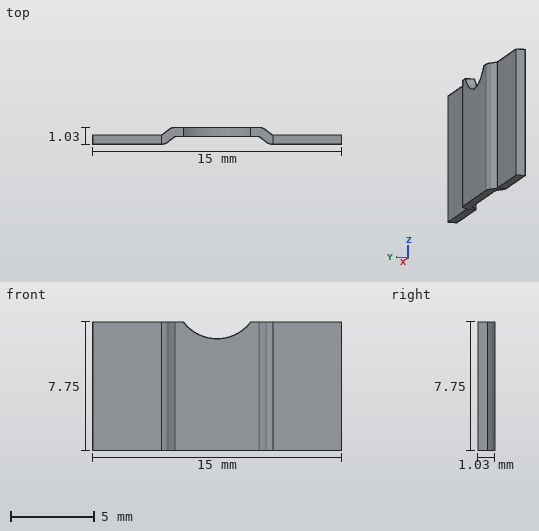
import cadquery as cq
import math

length = 14.98
depth = 1.03
height = 7.75

thickness = 0.57
wing_length = 4.13
bend_angle = math.radians(38)
inner_radius = 0.07
outer_radius = inner_radius + thickness

notch_width = 4.05
notch_depth = 1.0

offset = depth - thickness
bend_x = length / 2 - wing_length
bend_rise = (inner_radius + outer_radius) * (1 - math.cos(bend_angle))
slope_run = (offset - bend_rise) / math.tan(bend_angle)
crest_x = bend_x - (inner_radius + outer_radius) * math.sin(bend_angle) - slope_run
notch_radius = ((notch_width / 2) ** 2 + notch_depth ** 2) / (2 * notch_depth)


def make_wing(side):
    """Flat end plate; side is -1 for the -X end and 1 for the +X end."""
    center_x = side * (length - wing_length) / 2
    plate = cq.Workplane("XY").box(wing_length, thickness, height, centered=(True, False, False))
    return plate.translate((center_x, 0, 0))


def add_joggle_face(profile, side, root_radius, crest_radius, rising):
    """Add one face of an S-bend to the profile, going inward (rising) or outward.

    The root bend is about a center on the +Y side of the wing; the crest bend is
    about a center on the -Y side of the raised middle.
    """
    root_center = (bend_x, outer_radius)
    crest_center = (crest_x, offset - inner_radius)

    def root(angle):
        return (
            side * (root_center[0] - root_radius * math.sin(angle)),
            root_center[1] - root_radius * math.cos(angle),
        )

    def crest(angle):
        return (
            side * (crest_center[0] + crest_radius * math.sin(angle)),
            crest_center[1] + crest_radius * math.cos(angle),
        )

    half = bend_angle / 2
    if rising:
        return (
            profile.threePointArc(root(half), root(bend_angle))
            .lineTo(*crest(bend_angle))
            .threePointArc(crest(half), crest(0))
        )
    return (
        profile.threePointArc(crest(half), crest(bend_angle))
        .lineTo(*root(bend_angle))
        .threePointArc(root(half), root(0))
    )


def make_element():
    """Raised middle strip with an S-bend at each end and a round notch on top."""
    profile = cq.Workplane("XY").moveTo(-bend_x, 0)
    profile = add_joggle_face(profile, -1, outer_radius, inner_radius, rising=True)
    profile = profile.lineTo(crest_x, offset)
    profile = add_joggle_face(profile, 1, outer_radius, inner_radius, rising=False)
    profile = profile.lineTo(bend_x, thickness)
    profile = add_joggle_face(profile, 1, inner_radius, outer_radius, rising=True)
    profile = profile.lineTo(-crest_x, depth)
    profile = add_joggle_face(profile, -1, inner_radius, outer_radius, rising=False)
    strip = profile.close().extrude(height)

    notch_center_z = height - notch_depth + notch_radius
    notch = cq.Workplane("XZ").center(0, notch_center_z).circle(notch_radius).extrude(-depth)
    return strip.cut(notch)


element = make_element()
wings = [make_wing(side) for side in (-1, 1)]

result = cq.Compound.makeCompound([element.val(), *[wing.val() for wing in wings]])